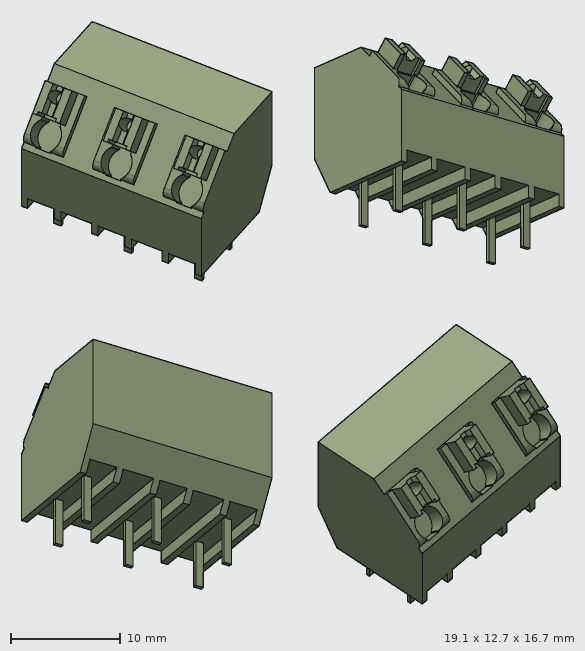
import cadquery as cq
import math


length = 19.13
depth = 12.7
height = 12.9
front_wall_height = 7.0
slope_run = height - front_wall_height
rear_chamfer_height = 3.97
rear_chamfer_run = rear_chamfer_height * math.tan(math.radians(30))

pole_count = 3
pole_pitch = 7.5
first_pole_x = 2.07
pole_centers = [first_pole_x + i * pole_pitch for i in range(pole_count)]

foot_height = 1.2
foot_inner = 1.44
foot_outer = 2.13

pad_thickness = 0.58
pad_low = 0.63
pad_high = 6.6
pad_left = 2.2
pad_right = 2.13
pad_rounding_length = 0.77

lever_width = 2.84
lever_length = 3.2
lever_low = pad_high - lever_length
lever_top = 2.11
lever_notch_width = 1.93
lever_notch_length = 0.32
lever_notch_floor = pad_thickness - 0.25

channel_top_width = 1.18
channel_floor_width = 0.59
channel_depth = 0.5
driver_hole_diameter = 1.25
driver_hole_center = 5.55

entry_shift = -0.04
entry_radius = 1.53
entry_floor = pad_thickness - 1.92
entry_low = 0.54
entry_center = (lever_low + entry_low) / 2
entry_upper_width = 2.0
entry_lower_width = 1.57

pin_width = 0.8
pin_thickness = 0.38
pin_length = 3.5
pin_row_positions = (3.1, 8.1)


def slope_plane(x, lift=0):
    """Plane on the slope: local X along the part, local Y up the slope, Z outward."""
    offset = lift / math.sqrt(2)
    return cq.Plane(
        origin=(x, -offset, front_wall_height + offset),
        xDir=(1, 0, 0),
        normal=(0, -1, 1),
    )


def slope_section_plane(x):
    """Plane across the part: local X up the slope, local Y outward from it."""
    return cq.Plane(origin=(x, 0, front_wall_height), xDir=(0, 1, 1), normal=(1, 0, 0))


def slope_block(x, width, low, high, bottom, top):
    """Block centred on x, between two heights up the slope and two levels off it."""
    return (
        cq.Workplane(slope_plane(x, bottom))
        .center(0, (low + high) / 2)
        .rect(width, high - low)
        .extrude(top - bottom)
    )


def slope_cylinder(x, radius, center, bottom, top):
    """Cylinder square to the slope."""
    return (
        cq.Workplane(slope_plane(x, bottom))
        .center(0, center)
        .circle(radius)
        .extrude(top - bottom)
    )


def make_pad(x):
    """Raised pad with a rounded lower end, clipped to the housing length."""
    left = max(x - pad_left, 0)
    right = min(x + pad_right, length)
    return (
        cq.Workplane(slope_section_plane(left))
        .moveTo(pad_low, 0)
        .lineTo(pad_high, 0)
        .lineTo(pad_high, pad_thickness)
        .lineTo(pad_low + pad_rounding_length, pad_thickness)
        .tangentArcPoint((pad_low, 0), relative=False)
        .close()
        .extrude(right - left)
    )


def make_wire_entry(x):
    """Cutter for the wire entry of one pole."""
    entry_x = x + entry_shift
    levels = (entry_floor, lever_top)
    bore = slope_cylinder(entry_x, entry_radius, entry_center, *levels)
    bore = bore.intersect(slope_block(entry_x, 2 * entry_radius, entry_low, lever_low, *levels))
    upper_slot = slope_block(entry_x, entry_upper_width, entry_center, lever_low, *levels)
    lower_slot = slope_block(entry_x, entry_lower_width, entry_low, entry_center, *levels)
    return bore.union(upper_slot).union(lower_slot)


def make_lever_block(x):
    """Plain lever block, seated at the depth of the wire entry floor."""
    return slope_block(x, lever_width, lever_low, pad_high, entry_floor, lever_top)


def make_lever(x):
    """Lever with a notched front end, a tapered channel and a screwdriver hole."""
    notch = slope_block(
        x, lever_notch_width, lever_low, lever_low + lever_notch_length, lever_notch_floor, lever_top
    )
    channel_floor = lever_top - channel_depth
    channel = (
        cq.Workplane(slope_plane(x, channel_floor))
        .center(0, (lever_low + pad_high) / 2)
        .rect(channel_floor_width, lever_length)
        .workplane(offset=channel_depth)
        .rect(channel_top_width, lever_length)
        .loft(ruled=True)
    )
    driver_hole = slope_cylinder(x, driver_hole_diameter / 2, driver_hole_center, 0, lever_top)
    return make_lever_block(x).cut(notch).cut(channel).cut(driver_hole)


def make_shell():
    """Housing outline with the space between the feet removed."""
    shell = (
        cq.Workplane("YZ")
        .moveTo(0, 0)
        .lineTo(depth - rear_chamfer_run, 0)
        .lineTo(depth, rear_chamfer_height)
        .lineTo(depth, height)
        .lineTo(slope_run, height)
        .lineTo(0, front_wall_height)
        .close()
        .extrude(length)
    )
    gaps = [(x - foot_inner, x + foot_inner) for x in pole_centers]
    gaps += [(x + foot_outer, x + pole_pitch - foot_outer) for x in pole_centers[:-1]]
    for start, end in gaps:
        gap = cq.Workplane().box(end - start, depth, foot_height, centered=False)
        shell = shell.cut(gap.translate((start, 0, 0)))
    return shell


def make_housing():
    housing = make_shell()
    for x in pole_centers:
        housing = housing.union(make_pad(x))
    for x in pole_centers:
        housing = housing.cut(make_wire_entry(x)).cut(make_lever_block(x))
    return housing


def make_pin(x, y):
    """Straight pin hanging from the underside between the feet."""
    return (
        cq.Workplane(origin=(x, y, -pin_length))
        .rect(pin_width, pin_thickness)
        .extrude(pin_length + foot_height)
    )


housing = make_housing()
levers = [make_lever(x) for x in pole_centers]
pins = [make_pin(x, y) for x in pole_centers for y in pin_row_positions]

result = cq.Compound.makeCompound([
    housing.val(),
    *[lever.val() for lever in levers],
    *[pin.val() for pin in pins],
])